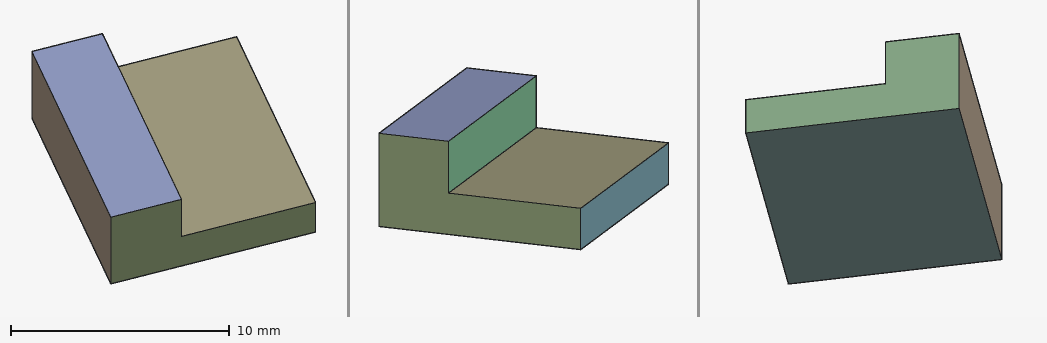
import cadquery as cq

length = 11.0
depth = 9.91
height = 4.45

wall_thickness = 3.42
base_thickness = 1.98

base = cq.Workplane("XY").box(length, depth, base_thickness, centered=False)
wall = cq.Workplane("XY").box(length, wall_thickness, height, centered=False)

result = base.union(wall)